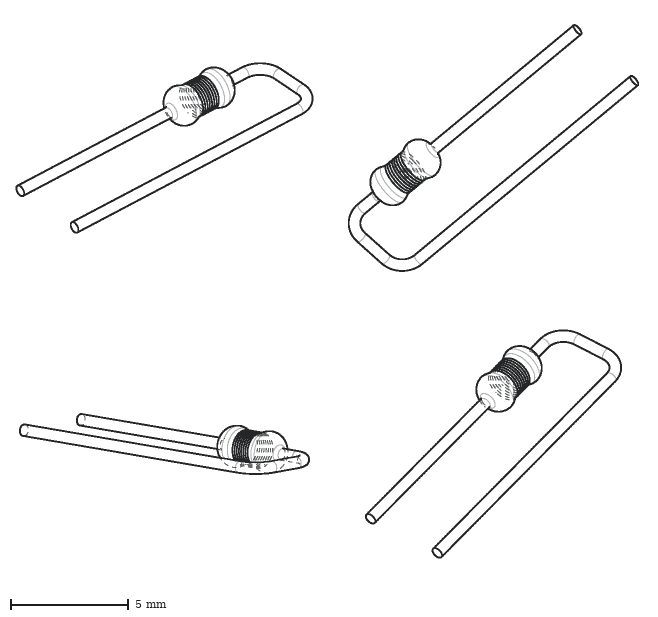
import cadquery as cq
import math


wire_diameter = 0.5
wire_radius = wire_diameter / 2
lead_spacing = 3.5
bend_radius = 1.0
overall_length = 14.05
top_y = 3.85
bottom_y = top_y - overall_length
bridge_y = top_y - wire_radius

cap_radius = 1.8 / 2
waist_radius = 1.55 / 2
groove_floor_radius = 1.53 / 2
waist_end = 0.45
cap_crest = 0.95
body_end = 1.75
groove_count = 4

blend_length = (cap_crest - waist_end) / 2
blend_drop = (cap_radius - waist_radius) / 2
blend_radius = (blend_length**2 + blend_drop**2) / (2 * blend_drop)
blend_middle = (waist_end + cap_crest) / 2
blend_middle_radius = (waist_radius + cap_radius) / 2

dome_radius = cap_radius - wire_radius
dome_span = body_end - cap_crest
fillet_radius = (dome_span**2 - dome_radius**2) / (2 * dome_radius)
fillet_angle = math.atan2(fillet_radius, dome_span)


def arc_point(center, radius, angle):
    """Point (distance from axis, distance along axis); the angle is measured from the axis."""
    return (center[0] + radius * math.sin(angle), center[1] + radius * math.cos(angle))


def make_half_body():
    """Half of the body, from its mid plane to the end of the fillet."""
    dome_center = (wire_radius, cap_crest)
    fillet_center = (wire_radius + fillet_radius, body_end)
    dome_edge = arc_point(dome_center, dome_radius, fillet_angle)
    dome_middle = arc_point(dome_center, dome_radius, (fillet_angle + math.pi / 2) / 2)
    fillet_middle_angle = math.pi + (fillet_angle + math.pi / 2) / 2
    fillet_middle = arc_point(fillet_center, fillet_radius, fillet_middle_angle)
    blend_half_angle = math.asin(blend_length / blend_radius) / 2
    half_blend_angle = math.pi / 2 - blend_half_angle
    waist_blend_middle = arc_point(
        (waist_radius + blend_radius, waist_end), -blend_radius, math.pi - half_blend_angle
    )
    cap_blend_middle = arc_point(
        (cap_radius - blend_radius, cap_crest), blend_radius, math.pi - half_blend_angle
    )
    return (
        cq.Workplane("XY")
        .lineTo(waist_radius, 0)
        .lineTo(waist_radius, waist_end)
        .threePointArc(waist_blend_middle, (blend_middle_radius, blend_middle))
        .threePointArc(cap_blend_middle, (cap_radius, cap_crest))
        .threePointArc(dome_middle, dome_edge)
        .threePointArc(fillet_middle, (wire_radius, body_end))
        .lineTo(0, body_end)
        .close()
        .revolve(360, (0, 0, 0), (0, 1, 0))
    )


def cut_grooves(body):
    """Shallow grooves alternating with equal lands, a groove at each end of the waist."""
    band_width = 2 * waist_end / (2 * groove_count - 1)
    for index in range(groove_count):
        groove_start = -waist_end + 2 * index * band_width
        ring = (
            cq.Workplane("XZ", origin=(0, groove_start, 0))
            .circle(cap_radius)
            .circle(groove_floor_radius)
            .extrude(-band_width)
        )
        body = body.cut(ring)
    return body


def make_wire():
    """Continuous round wire: up through the body, across, and back down."""
    bend_start_y = bridge_y - bend_radius
    bend_offset = bend_radius * math.sqrt(0.5)
    left_bend_middle = (bend_radius - bend_offset, bend_start_y + bend_offset)
    right_bend_middle = (lead_spacing - left_bend_middle[0], left_bend_middle[1])
    path = (
        cq.Workplane("XY")
        .moveTo(0, bottom_y)
        .lineTo(0, bend_start_y)
        .threePointArc(left_bend_middle, (bend_radius, bridge_y))
        .lineTo(lead_spacing - bend_radius, bridge_y)
        .threePointArc(right_bend_middle, (lead_spacing, bend_start_y))
        .lineTo(lead_spacing, bottom_y)
    )
    return cq.Workplane("XZ", origin=(0, bottom_y, 0)).circle(wire_radius).sweep(path)


half_body = make_half_body()
body = cut_grooves(half_body.union(half_body.mirror("XZ")))
result = body.union(make_wire())